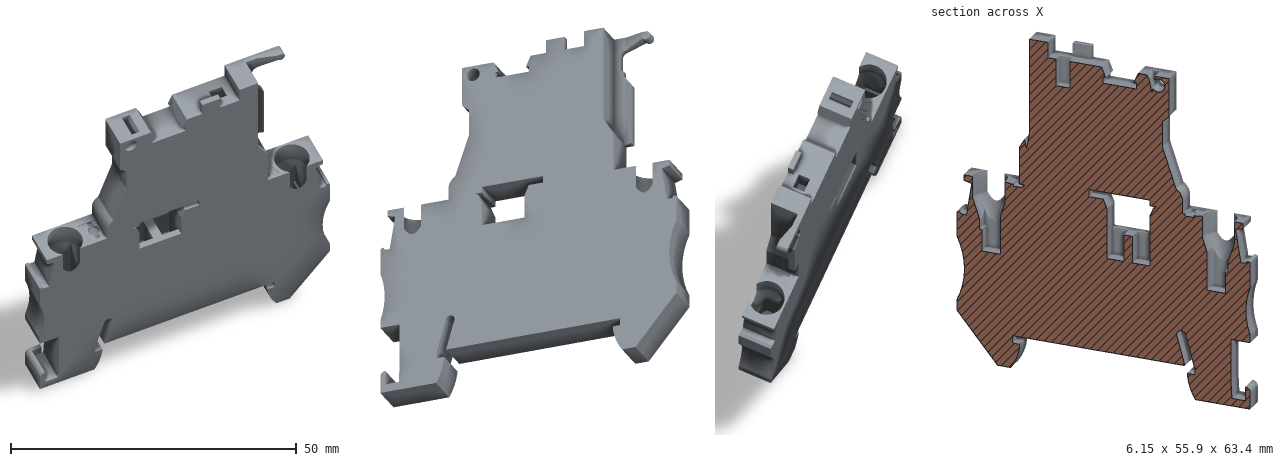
import cadquery as cq

width = 6.15
length = 55.9
height = 63.4
mid_y = length / 2

base_top = 35.3
shelf_z = 28.0
waist_top_z = 23.3
rail_seat_z = 6.15
foot_lip_z = 4.8

hook_round = 0.95
hook_slot_back = 3.5
hook_slot_floor_z = 1.5
hook_top_z = 4.1

gap_front_y = 19.2
gap_back_y = 27.25
gap_floor_z = 29.15
gap_chamfer_z = 33.5
gap_chamfer = 0.75

mouth_x = 3.5
mouth_y = 6.1
mouth_radius = 3.1

plug_top = 60.45
plug_back_y = 44.0
plug_front_y = 15.45
handle_plate = 1.0
handle_tip_width = 1.95
block_back_y = 42.1

handle_floor_z = 42.45
handle_slope_top_z = 45.65
block_front_y = 38.5

hinge_y = plug_front_y
hinge_z = 37.4
lug_radius = 2.6


def slab(outline):
    """Close an outline drawn in the YZ plane and give it the full thickness."""
    return outline.close().extrude(width)


def block(x_range, y_range, z_range):
    """Box given by its limits along each axis."""
    sizes = [high - low for low, high in (x_range, y_range, z_range)]
    corner = (x_range[0], y_range[0], z_range[0])
    return cq.Workplane("XY").box(*sizes, centered=False).translate(corner)


def at_both_ends(tool):
    """The tool together with its mirror image at the other end of the base."""
    return tool.union(tool.mirror("XZ", (0, mid_y, 0)))


def shoulder(far_end):
    """Points from the top edge down to the shelf, at the near or the far end."""
    points = [
        (1.3, base_top),
        (1.3, 34.2),
        (2.8, 33.85),
        (1.8, 27.7),
        (0.7, 27.8),
        (0.6, 28.2),
        (0, shelf_z),
    ]
    if far_end:
        return [(length - y, z) for y, z in reversed(points)]
    return points


def base_body():
    """Side outline of the base, extruded across its thickness."""
    outline = cq.Workplane("YZ").polyline(shoulder(False)).lineTo(0, waist_top_z)
    outline = (
        outline.threePointArc((0.8, 18.7), (0, 14.15))
        .lineTo(0, 12.7)
        .lineTo(3.7, 12.7)
        .lineTo(3.7, 5.0)
        .lineTo(hook_slot_back, hook_slot_floor_z)
        .lineTo(1.5, hook_slot_floor_z)
        .lineTo(1.5, 2.6)
        .lineTo(2.85, 2.6)
        .lineTo(2.85, hook_top_z)
        .lineTo(hook_round, hook_top_z)
        .radiusArc((0, hook_top_z - hook_round), -hook_round)
        .lineTo(0, 0)
    )
    outline = (
        outline.lineTo(10.5, 0)
        .threePointArc((11.55, 2.15), (12.05, 4.3))
        .lineTo(12.05, foot_lip_z)
        .lineTo(10.65, foot_lip_z)
        .lineTo(10.65, 5.95)
        .lineTo(12.4, 12.2)
        .threePointArc((13.25, 12.7), (14.0, 11.7))
        .lineTo(12.4, rail_seat_z)
    )
    outline = (
        outline.lineTo(45.25, rail_seat_z)
        .lineTo(45.25, foot_lip_z)
        .lineTo(43.9, foot_lip_z)
        .lineTo(43.9, 4.3)
        .threePointArc((44.5, 2.0), (45.65, 0))
        .lineTo(48.2, 0)
        .lineTo(length, 9.2)
        .lineTo(length, 11.3)
        .threePointArc((length - 1.4, 17.3), (length, waist_top_z))
    )
    for point in shoulder(True):
        outline = outline.lineTo(*point)
    outline = (
        outline.lineTo(gap_back_y + gap_chamfer, base_top)
        .lineTo(gap_back_y, gap_chamfer_z)
        .lineTo(gap_back_y, gap_floor_z)
        .lineTo(gap_front_y, gap_floor_z)
        .lineTo(gap_front_y, gap_chamfer_z)
        .lineTo(gap_front_y - gap_chamfer, base_top)
    )
    return slab(outline)


def hook_relief():
    """Cut that leaves the inward lip of the latch hook only as a thin rib on the -X side."""
    rib_thickness = 0.75
    return block(
        (rib_thickness, width),
        (hook_round, hook_slot_back),
        (hook_slot_floor_z, hook_top_z),
    )


def jumper_pockets():
    """Two pockets sunk in the floor of the opening, one against each of its end walls."""
    near_wall = 1.0
    far_wall = 5.0
    pocket_length = 3.2
    pocket_depth = 5.1
    x_range = (near_wall, far_wall)
    z_range = (gap_floor_z - pocket_depth, gap_floor_z)
    front = block(x_range, (gap_front_y, gap_front_y + pocket_length), z_range)
    back = block(x_range, (gap_back_y - pocket_length, gap_back_y), z_range)
    return front.union(back)


def wire_funnel():
    """Round mouth, cone and rectangular ledged throat of the near wire entry."""
    mouth_depth = 4.1
    mouth_floor_z = base_top - mouth_depth
    cone_end_radius = 1.65
    cone_depth = 4.45
    throat_x = (1.2, 4.95)
    throat_y = (4.8, 8.25)
    ledge_y = (4.4, throat_y[1])
    ledge_z = mouth_floor_z - 5.7
    throat_chamfer = 0.6
    throat_floor_z = mouth_floor_z - 9.8

    mouth = (
        cq.Workplane("XY", origin=(mouth_x, mouth_y, mouth_floor_z))
        .circle(mouth_radius)
        .extrude(mouth_depth)
    )
    cone = cq.Workplane(
        cq.Solid.makeCone(
            mouth_radius,
            cone_end_radius,
            cone_depth,
            cq.Vector(mouth_x, mouth_y, mouth_floor_z),
            cq.Vector(0, 0, -1),
        )
    )
    throat = block(throat_x, throat_y, (throat_floor_z, mouth_floor_z))
    throat = throat.union(block(throat_x, ledge_y, (ledge_z, mouth_floor_z)))
    throat = throat.edges("|Z and >X and >Y").chamfer(throat_chamfer)
    return mouth.union(cone).union(throat)


def screw_recess():
    """Sunk panel beside the near wire entry, with a slotted round recess in it."""
    panel_x = (1.45, 5.4)
    panel_y = (8.9, hinge_y - lug_radius)
    panel_depth = 0.1
    rim_radius = mouth_radius + 0.75
    slot_y = (11.2, 12.05)
    round_radius = 1.0
    recess_depth = 0.5

    recess_floor_z = base_top - recess_depth
    center_x = sum(panel_x) / 2
    center_y = sum(slot_y) / 2
    panel = block(panel_x, panel_y, (base_top - panel_depth, base_top))
    rim = cq.Workplane("XY").center(mouth_x, mouth_y).circle(rim_radius).extrude(height)
    slot = block(panel_x, slot_y, (recess_floor_z, base_top))
    round_part = (
        cq.Workplane("XY", origin=(center_x, center_y, recess_floor_z))
        .circle(round_radius)
        .extrude(recess_depth)
    )
    return panel.cut(rim).union(slot).union(round_part)


def plug_body():
    """Side outline of the plug, extruded across its thickness."""
    plate_back_y = 45.45
    marker_floor_z = 57.4
    marker_lip_z = 58.5
    underside_z = 36.6
    hinge_foot_z = 35.5
    rear_foot_y = 30.75
    outline = (
        cq.Workplane("YZ")
        .moveTo(plug_back_y, base_top)
        .lineTo(plug_back_y, handle_floor_z)
        .lineTo(plate_back_y, handle_floor_z)
        .lineTo(plate_back_y, 53.9)
        .lineTo(43.85, 55.95)
        .lineTo(43.85, 56.85)
        .lineTo(43.3, 57.2)
        .lineTo(43.3, 59.8)
        .threePointArc((43.5, 60.4), (44.0, 60.8))
        .lineTo(47.8, 62.1)
        .lineTo(48.2, 61.85)
        .threePointArc((49.2, 62.5), (48.7, height))
        .lineTo(block_front_y, height)
        .lineTo(block_front_y, plug_top)
    )
    outline = (
        outline.lineTo(28.3, plug_top)
        .lineTo(27.5, marker_lip_z)
        .lineTo(28.1, marker_lip_z)
        .lineTo(28.1, marker_floor_z)
        .lineTo(21.75, marker_floor_z)
        .lineTo(21.75, marker_lip_z)
        .lineTo(22.25, marker_lip_z)
        .lineTo(21.35, plug_top)
    )
    outline = (
        outline.lineTo(plug_front_y, plug_top)
        .lineTo(plug_front_y, 53.2)
        .lineTo(16.75, 52.05)
        .lineTo(16.75, 47.2)
        .lineTo(14.15, 39.6)
        .lineTo(hinge_y, hinge_z)
        .lineTo(17.75, hinge_foot_z)
        .lineTo(gap_front_y, hinge_foot_z)
        .lineTo(gap_front_y, underside_z)
        .lineTo(rear_foot_y, underside_z)
        .lineTo(rear_foot_y, base_top)
    )
    return slab(outline)


def handle_relief():
    """Space behind the plug that leaves the handle as a thin plate with a wider tip."""
    clear_y = length
    side = slab(
        cq.Workplane("YZ")
        .moveTo(block_back_y, height)
        .lineTo(block_back_y, handle_slope_top_z)
        .lineTo(plug_back_y, handle_floor_z)
        .lineTo(clear_y, handle_floor_z)
        .lineTo(clear_y, height)
    )
    plan = (
        cq.Workplane("XY")
        .moveTo(width, block_back_y)
        .lineTo(handle_plate, block_back_y)
        .lineTo(handle_plate, 44.35)
        .lineTo(handle_tip_width, 47.65)
        .lineTo(handle_tip_width, clear_y)
        .lineTo(width, clear_y)
        .close()
        .extrude(height)
    )
    return side.intersect(plan)


def hinge_lug():
    """Round-topped lug that carries the plug on the base."""
    barrel = cq.Workplane("YZ").center(hinge_y, hinge_z).circle(lug_radius).extrude(width)
    y_range = (hinge_y - lug_radius, hinge_y + lug_radius)
    stem = block((0, width), y_range, (base_top, hinge_z))
    above_base = block((0, width), y_range, (base_top, height))
    return barrel.intersect(above_base).union(stem)


def tapered_slot(near_y, top_z):
    """Slot across the plug whose two long walls slope down to a V, with a bevel at the far edge."""
    x_range = (1.0, 5.15)
    mouth_length = 1.5
    bottom_offset = 0.6
    depth = 3.2
    bevel_start = 1.1
    bevel_depth = 0.75
    return (
        cq.Workplane("YZ", origin=(x_range[0], near_y, top_z))
        .lineTo(bottom_offset, -depth)
        .lineTo(bevel_start, -bevel_depth)
        .lineTo(mouth_length, 0)
        .close()
        .extrude(x_range[1] - x_range[0])
    )


def plug_openings():
    """Square test hole, two tapered slots and the cross hole near the top of the plug."""
    cross_hole_radius = 1.2
    cross_hole_y = 17.55
    cross_hole_z = 58.75
    square_hole_depth = 5.1
    label_slot_y = 18.2
    square_hole = block((2.1, 4.25), (34.4, 36.95), (plug_top - square_hole_depth, plug_top))
    label_slot = tapered_slot(label_slot_y, plug_top)
    back_slot = tapered_slot(block_back_y, handle_slope_top_z)
    cross_hole = (
        cq.Workplane("YZ")
        .center(cross_hole_y, cross_hole_z)
        .circle(cross_hole_radius)
        .extrude(width)
    )
    return square_hole.union(label_slot).union(back_slot).union(cross_hole)


def top_tab():
    """Small upright tab on the +X edge of the plug top."""
    thickness = 1.0
    tab_height = 2.5
    return block((width - thickness, width), (31.3, 34.8), (plug_top, plug_top + tab_height))


base = (
    base_body()
    .cut(hook_relief())
    .cut(jumper_pockets())
    .cut(at_both_ends(screw_recess()))
    .cut(at_both_ends(wire_funnel()))
)
plug = plug_body().cut(handle_relief()).cut(plug_openings()).union(top_tab())
result = base.union(plug).union(hinge_lug())